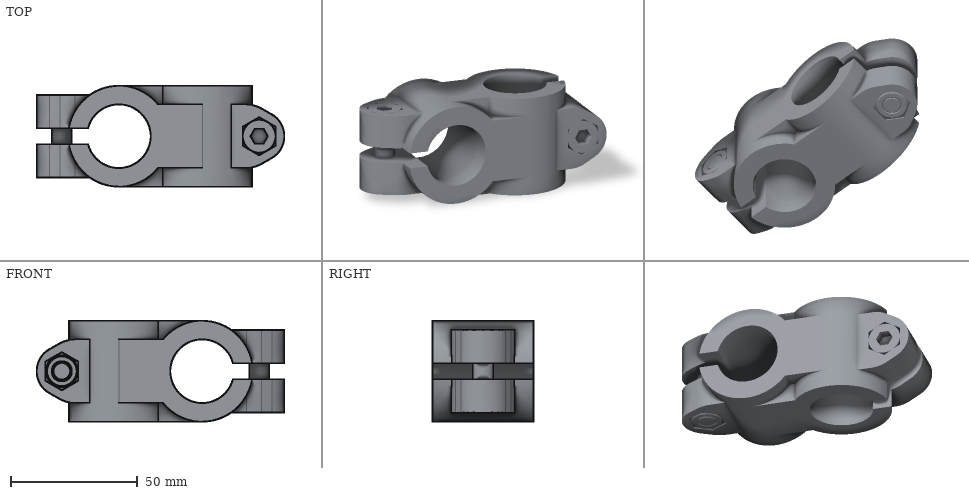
import cadquery as cq
import math


overall_length = 97.9
body_height = 40.0
body_radius = body_height / 2
bore_radius = 12.5

lug_thickness = 32.7
lug_half_height = bore_radius
lug_tip_radius = 10.0
lug_side_radius = 11.9
lug_flank_angle = math.radians(29.5)
bolt_offset = 22.5
slot_width = 6.2

shank_diameter = 8.0
hex_across_flats = 13.0
head_diameter = 12.9
head_height = 8.0
socket_across_flats = 6.0
socket_depth = 4.0
bolt_end_diameter = 6.6
nut_face_diameter = 11.7
nut_shoulder_diameter = 12.6
nut_corner_angle = math.radians(15)

lug_reach = bolt_offset + lug_tip_radius
axis_spacing = overall_length - 2 * lug_reach
lug_face = lug_thickness / 2
hex_corner_radius = hex_across_flats / math.sqrt(3)


def hex_prism(across_flats, depth, turn=0):
    """Hexagonal prism from z = 0 down, with a corner on X when turn is 0."""
    corner_diameter = 2 * across_flats / math.sqrt(3)
    prism = cq.Workplane("XY").polygon(6, corner_diameter).extrude(-depth)
    return prism.rotate((0, 0, 0), (0, 0, 1), turn)


def on_lug_face(shape, toward_nut):
    """Move a bolt shape whose outer face is z = 0 onto one end of the bolt."""
    angle = 90 if toward_nut else -90
    side = -1 if toward_nut else 1
    return shape.rotate((0, 0, 0), (1, 0, 0), angle).translate((-bolt_offset, side * lug_face, 0))


def make_lug():
    """Lug outline: a tip arc, straight flanks and side arcs that meet the flat sides."""
    sin_flank = math.sin(lug_flank_angle)
    cos_flank = math.cos(lug_flank_angle)
    side_z = lug_half_height - lug_side_radius
    side_offset = (lug_side_radius - lug_tip_radius + side_z * cos_flank) / sin_flank
    side_x = side_offset - bolt_offset

    tip_x = -bolt_offset - lug_tip_radius * sin_flank
    tip_z = lug_tip_radius * cos_flank
    flank_x = side_x - lug_side_radius * sin_flank
    flank_z = side_z + lug_side_radius * cos_flank
    mid_x = side_x - lug_side_radius * math.sin(lug_flank_angle / 2)
    mid_z = side_z + lug_side_radius * math.cos(lug_flank_angle / 2)

    return (
        cq.Workplane("XZ")
        .moveTo(0, lug_half_height)
        .lineTo(side_x, lug_half_height)
        .threePointArc((mid_x, mid_z), (flank_x, flank_z))
        .lineTo(tip_x, tip_z)
        .threePointArc((-lug_reach, 0), (tip_x, -tip_z))
        .lineTo(flank_x, -flank_z)
        .threePointArc((mid_x, -mid_z), (side_x, -lug_half_height))
        .lineTo(0, -lug_half_height)
        .close()
        .extrude(lug_face, both=True)
    )


def make_clamp_body():
    """Cylinder, lug, and the bridge that reaches to the other clamp's axis."""
    barrel = cq.Workplane("XY").circle(body_radius).extrude(body_height / 2, both=True)
    bridge = cq.Workplane("XY").box(axis_spacing, 2 * bore_radius, body_height)
    bridge = bridge.translate((axis_spacing / 2, 0, 0))
    return barrel.union(bridge).union(make_lug())


def make_bore_and_slot():
    bore = cq.Workplane("XY").circle(bore_radius).extrude(body_height / 2, both=True)
    slot = cq.Workplane("XY").box(lug_reach, slot_width, body_height)
    return bore.union(slot.translate((-lug_reach / 2, 0, 0)))


def make_shank():
    shank = cq.Workplane("XY").circle(shank_diameter / 2).extrude(-lug_thickness)
    return on_lug_face(shank, toward_nut=True)


def make_head_recess():
    """Hexagonal pocket left open around the round bolt head, and the key socket."""
    pocket = hex_prism(hex_across_flats, head_height, turn=30)
    head = cq.Workplane("XY").circle(head_diameter / 2).extrude(-head_height)
    socket = hex_prism(socket_across_flats, socket_depth)
    return on_lug_face(pocket.cut(head).union(socket), toward_nut=False)


def make_nut_recess():
    """Space over the chamfered nut rim, and the groove between nut and bolt end."""
    face_radius = nut_face_diameter / 2
    shoulder_radius = nut_shoulder_diameter / 2
    shoulder_depth = shoulder_radius - face_radius
    corner_drop = (hex_corner_radius - shoulder_radius) * math.tan(nut_corner_angle)
    corner_depth = shoulder_depth + corner_drop
    rim = (
        cq.Workplane("XZ")
        .moveTo(face_radius, 0)
        .lineTo(shoulder_radius, -shoulder_depth)
        .lineTo(hex_corner_radius, -corner_depth)
        .lineTo(hex_corner_radius, 0)
        .close()
        .revolve(360, (0, 0, 0), (0, 1, 0))
    )
    rim = rim.intersect(hex_prism(hex_across_flats, corner_depth, turn=30))

    groove_outer = shank_diameter / 2
    groove_inner = bolt_end_diameter / 2
    groove_depth = (groove_outer - groove_inner) / 2
    groove = (
        cq.Workplane("XZ")
        .moveTo(groove_inner, 0)
        .lineTo(groove_inner + groove_depth, -groove_depth)
        .lineTo(groove_outer, 0)
        .close()
        .revolve(360, (0, 0, 0), (0, 1, 0))
    )
    return on_lug_face(rim.union(groove), toward_nut=True)


def place_pair(shape):
    """Return the shape in both clamps: upright on -X, lying along Y on +X."""
    upright = shape.translate((-axis_spacing / 2, 0, 0))
    lying = shape.rotate((0, 0, 0), (0, 0, 1), 180).rotate((0, 0, 0), (1, 0, 0), -90)
    return upright, lying.translate((axis_spacing / 2, 0, 0))


upright_body, lying_body = place_pair(make_clamp_body())
result = upright_body.union(lying_body)

for opening in place_pair(make_bore_and_slot()):
    result = result.cut(opening)

for shank in place_pair(make_shank()):
    result = result.union(shank)

for recess in (make_head_recess(), make_nut_recess()):
    for placed_recess in place_pair(recess):
        result = result.cut(placed_recess)